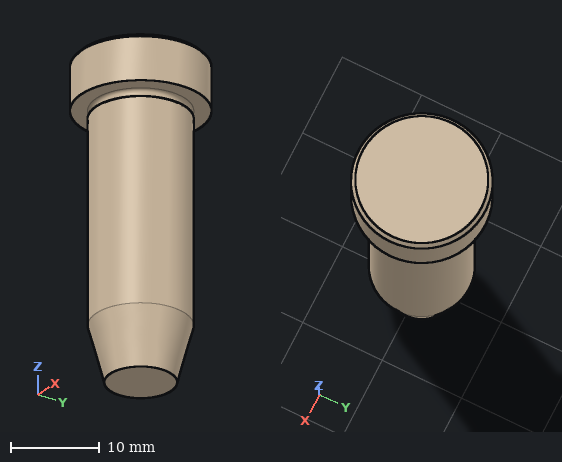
import cadquery as cq

total_length = 40.0
head_radius = 8.0
head_height = 6.0
shank_radius = 6.0

groove_width = 1.0
groove_radius = groove_width / 2

head_chamfer = groove_radius

tip_radius = 4.1
tip_length = 7.1

head_bottom = total_length - head_height
groove_middle = head_bottom - groove_radius
groove_bottom = head_bottom - groove_width

profile = (
    cq.Workplane("XZ")
    .lineTo(tip_radius, 0)
    .lineTo(shank_radius, tip_length)
    .lineTo(shank_radius, groove_bottom)
    .radiusArc((shank_radius - groove_radius, groove_middle), groove_radius)
    .radiusArc((shank_radius, head_bottom), groove_radius)
    .lineTo(head_radius, head_bottom)
    .lineTo(head_radius, total_length - head_chamfer)
    .lineTo(head_radius - head_chamfer, total_length)
    .lineTo(0, total_length)
    .close()
)

result = profile.revolve(360, (0, 0, 0), (0, 1, 0))